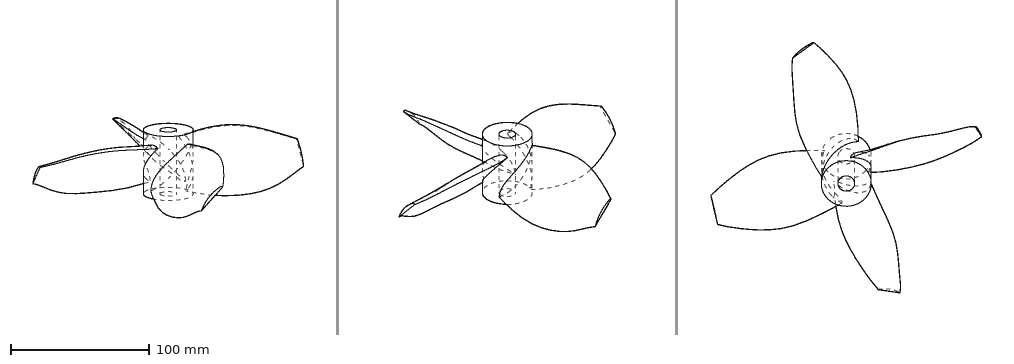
import cadquery as cq
import math

HUB_RADIUS = 18.0
HUB_HEIGHT = 48.0
BORE_RADIUS = 6.0

BLADE_COUNT = 4
ROOT_RADIUS = 7.0
TIP_RADIUS = 100.5
ROOT_THICKNESS = 8.5
TIP_THICKNESS = 2.8
SHOULDER_CHORD_FRACTION = 0.92
SHOULDER_HEIGHT_FRACTION = 0.65
NOSE_CHORD_FRACTION = 0.95
NOSE_HEIGHT_FRACTION = 0.58
CREST_CHORD_FRACTION = 0.52
NOSE_BULGE_CHORD_FRACTION = 0.99
NOSE_BULGE_HEIGHT_FRACTION = 0.34

BLADE_STATIONS = [
    (ROOT_RADIUS, (-15.9, 5.8), (10.9, 38.2)),
    (HUB_RADIUS, (-17.7, 3.2), (14.9, 39.0)),
    (34.2, (-19.7, 0.6), (18.5, 40.8)),
    (54.3, (-20.3, 0.2), (20.0, 41.5)),
    (70.4, (-17.5, 1.8), (17.7, 39.2)),
    (84.5, (-14.0, 6.5), (13.7, 35.4)),
    (TIP_RADIUS, (-9.0, 14.0), (7.2, 30.5)),
]


def blade_section(radius, low_edge, high_edge):
    """Flat-faced, convex-backed blade profile at one distance from the axis."""
    span_fraction = (radius - ROOT_RADIUS) / (TIP_RADIUS - ROOT_RADIUS)
    thickness = ROOT_THICKNESS + (TIP_THICKNESS - ROOT_THICKNESS) * span_fraction**2
    across = high_edge[0] - low_edge[0]
    rise = high_edge[1] - low_edge[1]
    chord = math.hypot(across, rise)

    def profile_point(chord_fraction, height_fraction):
        height = thickness * height_fraction
        offset = low_edge[0] + across * chord_fraction - height * rise / chord
        level = low_edge[1] + rise * chord_fraction + height * across / chord
        return cq.Vector(radius, offset, level)

    trailing = profile_point(0, 0)
    crest = profile_point(CREST_CHORD_FRACTION, 1)
    shoulder = profile_point(SHOULDER_CHORD_FRACTION, SHOULDER_HEIGHT_FRACTION)
    nose = profile_point(NOSE_CHORD_FRACTION, NOSE_HEIGHT_FRACTION)
    bulge = profile_point(NOSE_BULGE_CHORD_FRACTION, NOSE_BULGE_HEIGHT_FRACTION)
    leading = profile_point(1, 0)
    return cq.Wire.assembleEdges([
        cq.Edge.makeSpline([trailing, crest, shoulder]),
        cq.Edge.makeLine(shoulder, nose),
        cq.Edge.makeThreePointArc(nose, bulge, leading),
        cq.Edge.makeLine(leading, trailing),
    ])


def make_blade():
    """One blade along +X, lofted from inside the hub to the flat tip."""
    sections = [blade_section(*station) for station in BLADE_STATIONS]
    return cq.Workplane(cq.Solid.makeLoft(sections))


hub = cq.Workplane("XY").circle(HUB_RADIUS).extrude(HUB_HEIGHT)
bore = cq.Workplane("XY").circle(BORE_RADIUS).extrude(HUB_HEIGHT)

blade = make_blade()
propeller = hub
for index in range(BLADE_COUNT):
    angle = index * 360 / BLADE_COUNT
    propeller = propeller.union(blade.rotate((0, 0, 0), (0, 0, 1), angle))

result = propeller.cut(bore)